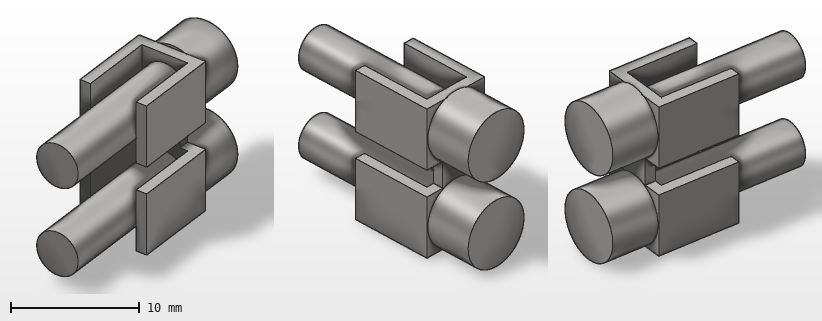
import cadquery as cq


pin_spacing = 8.2
pin_diameter = 4.0
pin_length = 15.2
head_diameter = 6.2
head_length = 4.4

clip_width = 6.4
clip_height = 5.7
clip_depth = 7.8
wall = 1.0

bridge_width = 2.9


def headed_pin(z):
    """Pin running forward from the clip's rear face, with its head behind it."""
    rear_plane = cq.Workplane("XZ", origin=(0, 0, z))
    shank = rear_plane.circle(pin_diameter / 2).extrude(pin_length)
    head = rear_plane.circle(head_diameter / 2).extrude(-head_length)
    return shank.union(head)


def u_clip(z):
    """U-shaped clip, open toward -Y, with side walls on both sides of the pin."""
    rear_plane = cq.Workplane("XZ", origin=(0, 0, z))
    block = rear_plane.rect(clip_width, clip_height).extrude(clip_depth)
    channel = (
        rear_plane.workplane(offset=wall)
        .rect(clip_width - 2 * wall, clip_height)
        .extrude(clip_depth - wall)
    )
    return block.cut(channel)


def bridge():
    """Flat strip in line with the clip backs, running between the pin axes."""
    return cq.Workplane("XZ").rect(bridge_width, pin_spacing).extrude(wall)


result = bridge()
for pin_z in (-pin_spacing / 2, pin_spacing / 2):
    result = result.union(u_clip(pin_z)).union(headed_pin(pin_z))